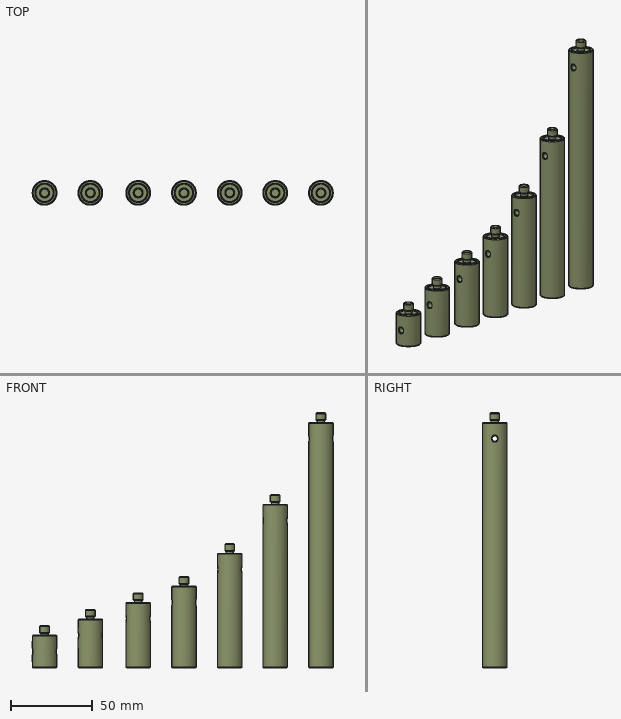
import cadquery as cq

POST_DIAMETER = 15.0
POST_HEIGHTS = [20.0, 30.0, 40.0, 50.0, 70.0, 100.0, 150.0]
POST_CENTRES_X = [-84.4, -56.5, -27.2, 0.7, 28.7, 56.5, 84.4]
RIM_CHAMFER = 0.5

RECESS_DIAMETER = 11.8
RECESS_DEPTH = 0.5

STUD_HEIGHT = 5.9
STUD_DIAMETER = 6.0
STUD_CHAMFER = 0.65
NECK_DIAMETER = 4.6
NECK_HEIGHT = 1.1

HOLE_DIAMETER = 3.3
HOLE_MOUTH_DIAMETER = 4.5
HOLE_DEPTH_BELOW_TOP = 10.0


def make_shaft(height):
    """Round bar standing on Z = 0, with both rims chamfered and a dished top."""
    bar = cq.Workplane("XY").circle(POST_DIAMETER / 2).extrude(height).edges("%CIRCLE").chamfer(RIM_CHAMFER)
    recess = (
        cq.Workplane("XY")
        .workplane(offset=height)
        .circle(RECESS_DIAMETER / 2)
        .extrude(-RECESS_DEPTH, taper=45)
    )
    return bar.cut(recess)


def make_stud(shaft_height):
    """Stud with an undercut neck, rising from the floor of the recess."""
    neck = (
        cq.Workplane("XY")
        .workplane(offset=shaft_height - RECESS_DEPTH)
        .circle(NECK_DIAMETER / 2)
        .extrude(RECESS_DEPTH + NECK_HEIGHT)
    )
    head = (
        cq.Workplane("XY")
        .workplane(offset=shaft_height + NECK_HEIGHT)
        .circle(STUD_DIAMETER / 2)
        .extrude(STUD_HEIGHT - NECK_HEIGHT)
        .edges("%CIRCLE")
        .chamfer(STUD_CHAMFER)
    )
    return neck.union(head)


def make_cross_hole(shaft_height):
    """Cutter for the through hole along X, widening in a 45-degree cone at each mouth."""
    axis_height = shaft_height - HOLE_DEPTH_BELOW_TOP
    mouth_radius = HOLE_MOUTH_DIAMETER / 2
    bore = (
        cq.Workplane("YZ")
        .center(0, axis_height)
        .circle(HOLE_DIAMETER / 2)
        .extrude(POST_DIAMETER, both=True)
    )
    cone = cq.Solid.makeCone(
        mouth_radius, 0, mouth_radius, pnt=cq.Vector(-POST_DIAMETER / 2, 0, axis_height), dir=cq.Vector(1, 0, 0)
    )
    return bore.union(cone).union(cq.Workplane(cone).mirror("YZ"))


def make_post(height):
    """One complete post: shaft and stud in one piece, drilled crosswise."""
    return make_shaft(height).union(make_stud(height)).cut(make_cross_hole(height))


posts = [
    make_post(height).translate((centre_x, 0, 0))
    for height, centre_x in zip(POST_HEIGHTS, POST_CENTRES_X)
]

result = cq.Compound.makeCompound([post.val() for post in posts])